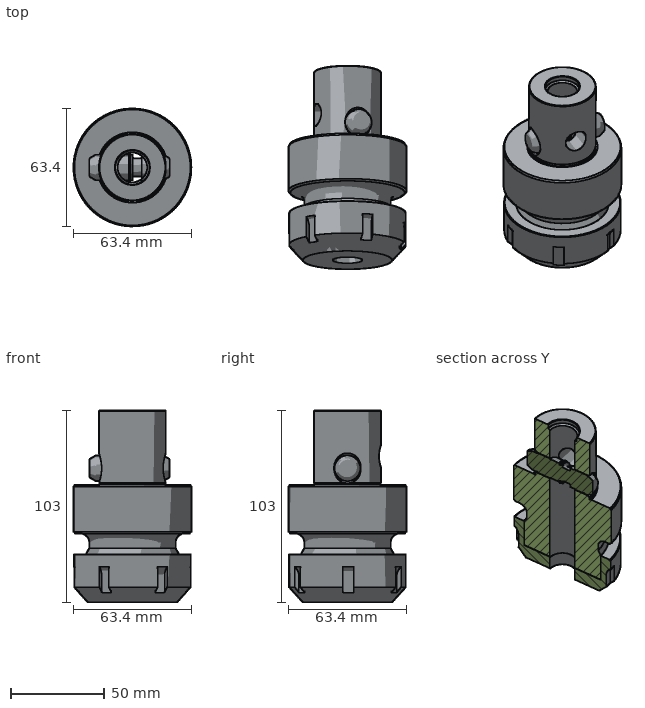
import cadquery as cq
import math


TOTAL_HEIGHT = 103.0
TAN_30 = math.tan(math.radians(30))

NUT_RADIUS = 31.4
NUT_HEIGHT = 26.0
NUT_TOP_CHAMFER_HEIGHT = 0.3
NUT_TOP_CHAMFER_WIDTH = 0.5
NUT_BOTTOM_RADIUS = 23.9
NUT_CONE_HEIGHT = 8.2
NUT_TURN = 1.0
SLOT_COUNT = 6
SLOT_WIDTH = 5.9
SLOT_FLOOR_DISTANCE = 28.6
SLOT_RUNOUT_START = 14.0
SLOT_TOP = 19.2

SHANK_RADIUS = 18.0
SHANK_CHAMFER = 0.4
FLANGE_RADIUS = 31.7
FLANGE_TOP = 63.1
FLANGE_BOTTOM = 37.0
FLANGE_CHAMFER_HEIGHT = 1.0
FLANGE_CHAMFER_WIDTH = 0.6
NECK_RADIUS = 23.3
NECK_FILLET = 4.7
NECK_BOTTOM = 29.0
SPIGOT_RADIUS = NECK_RADIUS + (NECK_BOTTOM - NUT_HEIGHT) * TAN_30
SPIGOT_BOTTOM = NUT_CONE_HEIGHT

UNDERCUT_TOP = 64.3
UNDERCUT_DEPTH = 0.3
UNDERCUT_OUTER_RADIUS = 19.0

BORE_RADIUS = 7.9
COUNTERBORE_RADIUS = 9.2
COUNTERBORE_DEPTH = 2.7
COUNTERBORE_CHAMFER = 0.3

PIN_Z = 72.0
PIN_RADIUS = 6.9
PIN_LEFT = -23.1
PIN_RIGHT = 20.0
PIN_END_RADIUS = 4.9
PIN_END_FILLET = 1.2
PIN_NECK_RADIUS = 4.9
PIN_NECK_LEFT = 0.2
PIN_NECK_RIGHT = 5.0
PIN_NECK_FILLET = 0.5
PIN_CONE_LENGTH = (PIN_RADIUS - PIN_END_RADIUS) / TAN_30

PIN_HOLE_MOUTH_RADIUS = 8.1

RING_LEFT = -2.1
RING_RIGHT = -0.8
RING_INNER_RADIUS = 6.1
RING_OUTER_RADIUS = 7.3
RING_RIGHT_BEVEL = 0.6

SIDE_HOLE_RADIUS = 6.0
SIDE_HOLE_Z = 78.4


def revolve_about_z(outline):
    """Revolve a closed (radius, z) outline drawn on the XZ plane about Z."""
    return outline.close().revolve(360, (0, 0, 0), (0, 1, 0))


def cylinder_z(radius, bottom, top):
    """Make a cylinder on the Z axis."""
    return cq.Workplane("XY").workplane(offset=bottom).circle(radius).extrude(top - bottom)


def cylinder_x(radius, start, end):
    """Make a cylinder on the pin axis."""
    plane = cq.Workplane("YZ", origin=(start, 0, PIN_Z))
    return plane.circle(radius).extrude(end - start)


def revolve_about_pin_axis(outline):
    """Revolve a closed (x, radius) outline, drawn from the pin axis, about that axis."""
    return outline.close().revolve(360, (0, 0, 0), (1, 0, 0))


def pin_axis_sketch():
    """Give an XZ sketch plane whose origin lies on the pin axis."""
    return cq.Workplane("XZ", origin=(0, 0, PIN_Z))


def holder_outside():
    """Revolve the shank, flange, neck and spigot."""
    undercut_radius = SHANK_RADIUS - UNDERCUT_DEPTH
    undercut_bottom = FLANGE_TOP - UNDERCUT_DEPTH
    fillet_start = NECK_RADIUS + NECK_FILLET
    fillet_end = FLANGE_BOTTOM - NECK_FILLET
    fillet_middle = NECK_FILLET * (1 - math.sqrt(0.5))
    outline = (
        cq.Workplane("XZ")
        .moveTo(0, TOTAL_HEIGHT)
        .lineTo(SHANK_RADIUS - SHANK_CHAMFER, TOTAL_HEIGHT)
        .lineTo(SHANK_RADIUS, TOTAL_HEIGHT - SHANK_CHAMFER)
        .lineTo(SHANK_RADIUS, UNDERCUT_TOP)
        .lineTo(undercut_radius, UNDERCUT_TOP - UNDERCUT_DEPTH)
        .lineTo(undercut_radius, undercut_bottom)
        .lineTo(SHANK_RADIUS, undercut_bottom)
        .lineTo(UNDERCUT_OUTER_RADIUS, FLANGE_TOP)
        .lineTo(FLANGE_RADIUS - FLANGE_CHAMFER_WIDTH, FLANGE_TOP)
        .lineTo(FLANGE_RADIUS, FLANGE_TOP - FLANGE_CHAMFER_HEIGHT)
        .lineTo(FLANGE_RADIUS, FLANGE_BOTTOM + FLANGE_CHAMFER_HEIGHT)
        .lineTo(FLANGE_RADIUS - FLANGE_CHAMFER_HEIGHT, FLANGE_BOTTOM)
        .lineTo(fillet_start, FLANGE_BOTTOM)
        .threePointArc(
            (NECK_RADIUS + fillet_middle, FLANGE_BOTTOM - fillet_middle),
            (NECK_RADIUS, fillet_end),
        )
        .lineTo(NECK_RADIUS, NECK_BOTTOM)
        .lineTo(SPIGOT_RADIUS, NUT_HEIGHT)
        .lineTo(SPIGOT_RADIUS, SPIGOT_BOTTOM)
        .lineTo(0, SPIGOT_BOTTOM)
    )
    return revolve_about_z(outline)


def holder_bore():
    """Revolve the through bore with its chamfered, cone-bottomed counterbore."""
    counterbore_bottom = TOTAL_HEIGHT - COUNTERBORE_DEPTH
    cone_bottom = counterbore_bottom - (COUNTERBORE_RADIUS - BORE_RADIUS) * TAN_30
    outline = (
        cq.Workplane("XZ")
        .moveTo(0, TOTAL_HEIGHT)
        .lineTo(COUNTERBORE_RADIUS + COUNTERBORE_CHAMFER, TOTAL_HEIGHT)
        .lineTo(COUNTERBORE_RADIUS, TOTAL_HEIGHT - COUNTERBORE_CHAMFER)
        .lineTo(COUNTERBORE_RADIUS, counterbore_bottom)
        .lineTo(BORE_RADIUS, cone_bottom)
        .lineTo(BORE_RADIUS, SPIGOT_BOTTOM)
        .lineTo(0, SPIGOT_BOTTOM)
    )
    return revolve_about_z(outline)


def pin_hole():
    """Make the cross hole for the pin, countersunk at both sides of the shank."""
    hole = cylinder_x(PIN_RADIUS, -SHANK_RADIUS, SHANK_RADIUS)
    countersink_start = SHANK_RADIUS - (PIN_HOLE_MOUTH_RADIUS - PIN_RADIUS) / TAN_30
    for side in (-1, 1):
        outline = (
            pin_axis_sketch()
            .moveTo(side * countersink_start, 0)
            .lineTo(side * countersink_start, PIN_RADIUS)
            .lineTo(side * SHANK_RADIUS, PIN_HOLE_MOUTH_RADIUS)
            .lineTo(side * SHANK_RADIUS, 0)
        )
        hole = hole.union(revolve_about_pin_axis(outline))
    return hole


def side_hole():
    """Make the radial hole from the +Y side of the shank into the bore."""
    plane = cq.Workplane("XZ", origin=(0, 0, SIDE_HOLE_Z))
    return plane.circle(SIDE_HOLE_RADIUS).extrude(-SHANK_RADIUS)


def make_holder():
    return holder_outside().cut(holder_bore()).cut(pin_hole()).cut(side_hole())


def nut_slot():
    """Make one spanner slot on the +X side, its floor running out in an arc at the top."""
    depth = NUT_RADIUS - SLOT_FLOOR_DISTANCE
    runout_height = SLOT_TOP - SLOT_RUNOUT_START
    runout_radius = (depth**2 + runout_height**2) / (2 * depth)
    half_angle = math.asin(runout_height / runout_radius) / 2
    arc_middle = (
        SLOT_FLOOR_DISTANCE + runout_radius * (1 - math.cos(half_angle)),
        SLOT_RUNOUT_START + runout_radius * math.sin(half_angle),
    )
    return (
        cq.Workplane("XZ", origin=(0, SLOT_WIDTH / 2, 0))
        .moveTo(SLOT_FLOOR_DISTANCE, 0)
        .lineTo(SLOT_FLOOR_DISTANCE, SLOT_RUNOUT_START)
        .threePointArc(arc_middle, (NUT_RADIUS, SLOT_TOP))
        .lineTo(NUT_RADIUS, 0)
        .close()
        .extrude(SLOT_WIDTH)
    )


def make_nut():
    outline = (
        cq.Workplane("XZ")
        .moveTo(0, 0)
        .lineTo(NUT_BOTTOM_RADIUS, 0)
        .lineTo(NUT_RADIUS, NUT_CONE_HEIGHT)
        .lineTo(NUT_RADIUS, NUT_HEIGHT - NUT_TOP_CHAMFER_HEIGHT)
        .lineTo(NUT_RADIUS - NUT_TOP_CHAMFER_WIDTH, NUT_HEIGHT)
        .lineTo(0, NUT_HEIGHT)
    )
    nut = revolve_about_z(outline)
    nut = nut.cut(cylinder_z(SPIGOT_RADIUS, SPIGOT_BOTTOM, NUT_HEIGHT))
    nut = nut.cut(cylinder_z(BORE_RADIUS, 0, SPIGOT_BOTTOM))
    for index in range(SLOT_COUNT):
        nut = nut.cut(nut_slot().rotate((0, 0, 0), (0, 0, 1), index * 360 / SLOT_COUNT))
    return nut.rotate((0, 0, 0), (0, 0, 1), NUT_TURN)


def pin_blank():
    """Revolve the pin with a rounded cone at each end."""
    outline = (
        pin_axis_sketch()
        .moveTo(PIN_LEFT, 0)
        .lineTo(PIN_LEFT, PIN_END_RADIUS)
        .lineTo(PIN_LEFT + PIN_CONE_LENGTH, PIN_RADIUS)
        .lineTo(PIN_RIGHT - PIN_CONE_LENGTH, PIN_RADIUS)
        .lineTo(PIN_RIGHT, PIN_END_RADIUS)
        .lineTo(PIN_RIGHT, 0)
    )
    return revolve_about_pin_axis(outline).edges("%CIRCLE").fillet(PIN_END_FILLET)


def pin_neck_groove():
    """Make the wide groove that leaves the neck, rounded at both floor corners."""
    groove = cylinder_x(PIN_RADIUS, PIN_NECK_LEFT, PIN_NECK_RIGHT)
    neck = cylinder_x(PIN_NECK_RADIUS, PIN_NECK_LEFT, PIN_NECK_RIGHT)
    inner_edges = cq.selectors.RadiusNthSelector(0)
    groove = groove.cut(neck)
    return groove.edges(inner_edges).fillet(PIN_NECK_FILLET)


def ring_groove():
    """Make the square groove that seats the ring."""
    groove = cylinder_x(PIN_RADIUS, RING_LEFT, RING_RIGHT)
    return groove.cut(cylinder_x(RING_INNER_RADIUS, RING_LEFT, RING_RIGHT))


def make_pin():
    return pin_blank().cut(pin_neck_groove()).cut(ring_groove())


def make_ring():
    """Revolve the ring, flush with the pin at both sides and standing proud between."""
    left_bevel = RING_OUTER_RADIUS - PIN_RADIUS
    outline = (
        pin_axis_sketch()
        .moveTo(RING_LEFT, RING_INNER_RADIUS)
        .lineTo(RING_LEFT, PIN_RADIUS)
        .lineTo(RING_LEFT + left_bevel, RING_OUTER_RADIUS)
        .lineTo(RING_RIGHT - RING_RIGHT_BEVEL, RING_OUTER_RADIUS)
        .lineTo(RING_RIGHT, PIN_RADIUS)
        .lineTo(RING_RIGHT, RING_INNER_RADIUS)
    )
    return revolve_about_pin_axis(outline)


holder = make_holder()
nut = make_nut()
pin = make_pin()
ring = make_ring()

result = cq.Compound.makeCompound([holder.val(), nut.val(), pin.val(), ring.val()])